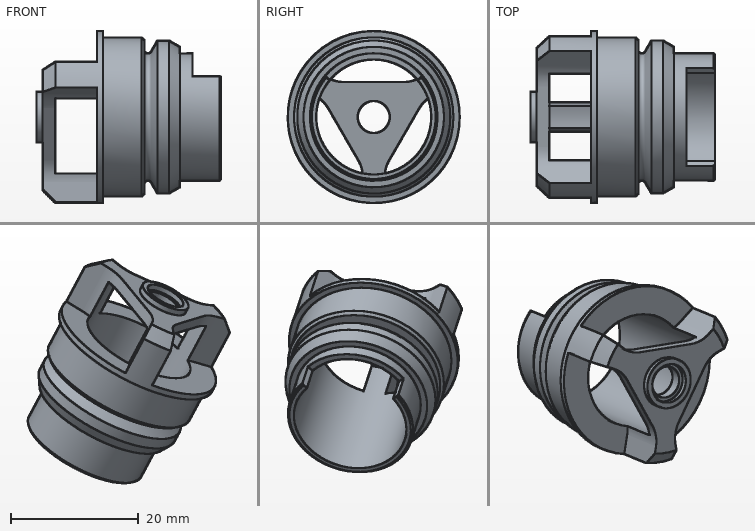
import cadquery as cq
import math

LENGTH = 29.0

FLANGE_R = 27.0 / 2
BODY_R = 25.0 / 2
RIDGE_R = 24.0 / 2
TAIL_R = 20.0 / 2
BORE_R = 18.0 / 2
PILOT_R = 8.0 / 2
COUNTERBORE_R = 6.2 / 2
CENTER_HOLE_R = 5.0 / 2

PLATE_FRONT = 1.0
PLATE_BACK = 3.0
FLANGE_FRONT = 9.5
FLANGE_BACK = 10.5
BODY_BACK = 17.0
RIDGE_FRONT = 19.0
RIDGE_BACK = 22.5
NOTCH_FRONT = 24.5

BODY_CHAMFER = 0.5
TAIL_CHAMFER = 0.3
COUNTERBORE_DEPTH = 1.0
GROOVE_ARC_R = 0.58
GROOVE_WALL_ANGLE = math.radians(60)
RIDGE_TAPER_ANGLE = math.radians(30)
RIDGE_TAPER_DROP = 1.0

LEG_COUNT = 3
LEG_HALF_ANGLE = math.radians(10)
WEB_FLAT = 5.5
WEB_FILLET = 5.0
LEG_CHAMFER = PLATE_BACK - PLATE_FRONT

NOTCH_HALF_ANGLE = math.radians(50)


def cylinder(radius, start, end):
    return cq.Workplane("YZ").workplane(offset=start).circle(radius).extrude(end - start)


def make_sleeve():
    """Flange, body, groove, ridge and tail revolved as one tube."""
    arc_half_width = GROOVE_ARC_R * math.sin(GROOVE_WALL_ANGLE)
    arc_rise = GROOVE_ARC_R * (1 - math.cos(GROOVE_WALL_ANGLE))
    groove_edge_r = TAIL_R + arc_rise
    groove_middle = BODY_BACK + arc_half_width
    groove_back = BODY_BACK + 2 * arc_half_width
    taper_start = RIDGE_BACK - RIDGE_TAPER_DROP / math.tan(RIDGE_TAPER_ANGLE)
    profile = (
        cq.Workplane("XY")
        .moveTo(FLANGE_FRONT, BORE_R)
        .lineTo(FLANGE_FRONT, FLANGE_R)
        .lineTo(FLANGE_BACK, FLANGE_R)
        .lineTo(FLANGE_BACK, BODY_R)
        .lineTo(BODY_BACK - BODY_CHAMFER, BODY_R)
        .lineTo(BODY_BACK, BODY_R - BODY_CHAMFER)
        .lineTo(BODY_BACK, groove_edge_r)
        .threePointArc((groove_middle, TAIL_R), (groove_back, groove_edge_r))
        .lineTo(RIDGE_FRONT, RIDGE_R)
        .lineTo(taper_start, RIDGE_R)
        .lineTo(RIDGE_BACK, RIDGE_R - RIDGE_TAPER_DROP)
        .lineTo(RIDGE_BACK, TAIL_R)
        .lineTo(LENGTH - TAIL_CHAMFER, TAIL_R)
        .lineTo(LENGTH, TAIL_R - TAIL_CHAMFER)
        .lineTo(LENGTH, BORE_R)
        .close()
    )
    return profile.revolve(360, (0, 0, 0), (1, 0, 0))


def make_tail_notch():
    """Wedge with radial sides that opens the top of the tail."""
    reach = 2 * TAIL_R
    half_width = reach * math.sin(NOTCH_HALF_ANGLE)
    height = reach * math.cos(NOTCH_HALF_ANGLE)
    return (
        cq.Workplane("YZ")
        .workplane(offset=NOTCH_FRONT)
        .polyline([(0, 0), (half_width, height), (-half_width, height)])
        .close()
        .extrude(LENGTH - NOTCH_FRONT)
    )


def make_window():
    """Opening above one side of the web, with radial walls and rounded corners."""
    wall_angle = math.pi / LEG_COUNT - LEG_HALF_ANGLE
    corner = WEB_FLAT * math.tan(wall_angle)
    reach = 2 * FLANGE_R
    top_half_width = reach * math.tan(wall_angle)
    return (
        cq.Workplane("YZ")
        .workplane(offset=PLATE_FRONT)
        .polyline([
            (-corner, WEB_FLAT),
            (corner, WEB_FLAT),
            (top_half_width, reach),
            (-top_half_width, reach),
        ])
        .close()
        .extrude(FLANGE_FRONT - PLATE_FRONT)
        .edges("|X and (<Z)")
        .fillet(WEB_FILLET)
    )


def make_spider():
    """Front plate and three legs that carry it on the flange."""
    spider = cylinder(FLANGE_R, PLATE_FRONT, FLANGE_FRONT).faces("<X").chamfer(LEG_CHAMFER)
    spider = spider.cut(cylinder(BORE_R, PLATE_BACK, FLANGE_FRONT))
    window = make_window()
    for index in range(LEG_COUNT):
        spider = spider.cut(window.rotate((0, 0, 0), (1, 0, 0), index * 360 / LEG_COUNT))
    spider = spider.union(cylinder(PILOT_R, 0, PLATE_FRONT))
    spider = spider.cut(cylinder(CENTER_HOLE_R, 0, PLATE_BACK))
    return spider.cut(cylinder(COUNTERBORE_R, 0, COUNTERBORE_DEPTH))


result = make_sleeve().cut(make_tail_notch()).union(make_spider())